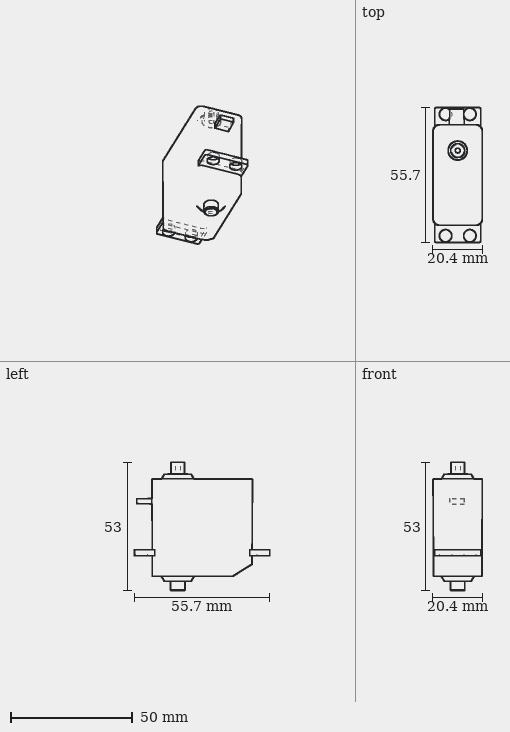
import cadquery as cq

CASE_HEIGHT = 40.1
SEAM_Z = 11.15
SEAM_WIDTH = 20.05
SEAM_LENGTH = 41.15
TOP_WIDTH = 20.4
TOP_FLARE = (TOP_WIDTH - SEAM_WIDTH) / 2
TOP_LENGTH = SEAM_LENGTH + 2 * TOP_FLARE
SEAM_CORNER_R = 2.5
TOP_CORNER_R = SEAM_CORNER_R + TOP_FLARE
CASE_EDGE_R = 0.45

SLOPE_FLOOR_Y = -12.5
SLOPE_HEIGHT = 5.05

EAR_SPAN = 55.7
EAR_WIDTH = 19.0
EAR_THICKNESS = 2.55
EAR_TOP_Z = SEAM_Z - 0.1
EAR_CORNER_R = 0.9
EAR_HOLE_D = 5.0
EAR_HOLE_PITCH_X = 10.0
EAR_HOLE_PITCH_Y = 50.0

AXIS_Y = 10.05
BOSS_HEIGHT = 2.0
BOSS_BASE_R = 6.72
BOSS_ROOT_R = 0.4
BOSS_SLOPE_DEG = 30
BOSS_EDGE_R = 0.3

COLLAR_R = 3.95
COLLAR_HEIGHT = 0.15
COLLAR_CHAMFER = 0.1
SHAFT_R = 2.85
OUTPUT_HEIGHT = 6.95
SHAFT_EDGE_R = 0.5
SHAFT_ROOT_R = 0.25
SHAFT_BORE_D = 2.0
SHAFT_BORE_DEPTH = 5.0

STUB_R = 3.0
IDLER_HEIGHT = 5.95
STUB_CHAMFER = 0.5

CABLE_X = -0.4
CABLE_Z = 30.95
CABLE_EMBED = 1.0
CABLE_NECK_Y = 21.1
CABLE_TIP_Y = 27.0
CABLE_ROOT_WIDTH = 6.1
CABLE_TIP_WIDTH = 5.75
CABLE_ROOT_HEIGHT = 2.3
CABLE_TIP_HEIGHT = 2.05


def rounded_rectangle(width, length, corner_r):
    return cq.Sketch().rect(width, length).vertices().fillet(corner_r)


def make_upper_shell():
    shell = (
        cq.Workplane("XY")
        .workplane(offset=SEAM_Z)
        .placeSketch(
            rounded_rectangle(SEAM_WIDTH, SEAM_LENGTH, SEAM_CORNER_R),
            rounded_rectangle(TOP_WIDTH, TOP_LENGTH, TOP_CORNER_R).moved(
                cq.Location(cq.Vector(0, 0, CASE_HEIGHT - SEAM_Z))
            ),
        )
        .loft()
    )
    return shell.faces(">Z").edges().fillet(CASE_EDGE_R)


def make_lower_shell():
    shell = (
        cq.Workplane("XY")
        .placeSketch(rounded_rectangle(SEAM_WIDTH, SEAM_LENGTH, SEAM_CORNER_R))
        .extrude(SEAM_Z)
    )
    end_y = -SEAM_LENGTH / 2
    relief = (
        cq.Workplane("YZ")
        .polyline([(SLOPE_FLOOR_Y, 0), (end_y, SLOPE_HEIGHT), (end_y, 0)])
        .close()
        .extrude(SEAM_WIDTH, both=True)
    )
    shell = shell.cut(relief)
    slope_direction = cq.Vector(0, -SLOPE_HEIGHT, end_y - SLOPE_FLOOR_Y)
    floor_rim = shell.faces("<Z").edges()
    slope_rim = shell.faces(cq.selectors.ParallelDirSelector(slope_direction)).edges()
    return floor_rim.add(slope_rim).fillet(CASE_EDGE_R)


def make_ears():
    return (
        cq.Workplane("XY")
        .workplane(offset=EAR_TOP_Z - EAR_THICKNESS)
        .placeSketch(rounded_rectangle(EAR_WIDTH, EAR_SPAN, EAR_CORNER_R))
        .extrude(EAR_THICKNESS)
        .faces(">Z")
        .workplane()
        .rect(EAR_HOLE_PITCH_X, EAR_HOLE_PITCH_Y, forConstruction=True)
        .vertices()
        .hole(EAR_HOLE_D)
    )


def make_boss():
    """Conical boss standing on Z = 0, centred on the Z axis."""
    boss = cq.Workplane("XY").circle(BOSS_BASE_R).extrude(BOSS_HEIGHT, taper=BOSS_SLOPE_DEG)
    return boss.faces(">Z").edges().fillet(BOSS_EDGE_R)


def make_output():
    """Roof boss, collar and bored output shaft, standing on Z = 0."""
    collar = (
        cq.Workplane("XY")
        .circle(COLLAR_R)
        .extrude(BOSS_HEIGHT + COLLAR_HEIGHT)
        .faces(">Z")
        .edges()
        .chamfer(COLLAR_CHAMFER)
    )
    shaft = (
        cq.Workplane("XY")
        .circle(SHAFT_R)
        .extrude(OUTPUT_HEIGHT)
        .faces(">Z")
        .edges()
        .fillet(SHAFT_EDGE_R)
    )
    output = make_boss().union(collar).union(shaft)
    root_z = BOSS_HEIGHT + COLLAR_HEIGHT
    reach = SHAFT_R + SHAFT_ROOT_R
    shaft_root = cq.selectors.BoxSelector(
        (-reach, -reach, root_z - SHAFT_ROOT_R),
        (reach, reach, root_z + SHAFT_ROOT_R),
        boundingbox=True,
    )
    output = output.edges(shaft_root).fillet(SHAFT_ROOT_R)
    return output.faces(">Z").workplane().hole(SHAFT_BORE_D, SHAFT_BORE_DEPTH)


def make_idler():
    """Floor boss and chamfered stub, standing on Z = 0."""
    stub = (
        cq.Workplane("XY")
        .circle(STUB_R)
        .extrude(IDLER_HEIGHT)
        .faces(">Z")
        .edges()
        .chamfer(STUB_CHAMFER)
    )
    return make_boss().union(stub)


def make_cable_outlet():
    neck_start_y = SEAM_LENGTH / 2 - CABLE_EMBED
    neck = cq.Workplane("XY").box(
        CABLE_ROOT_WIDTH, CABLE_NECK_Y - neck_start_y, CABLE_ROOT_HEIGHT, centered=(True, False, True)
    )
    body = (
        cq.Workplane("XZ", origin=(0, CABLE_NECK_Y, 0))
        .rect(CABLE_ROOT_WIDTH, CABLE_ROOT_HEIGHT)
        .workplane(offset=CABLE_NECK_Y - CABLE_TIP_Y)
        .rect(CABLE_TIP_WIDTH, CABLE_TIP_HEIGHT)
        .loft(ruled=True)
    )
    neck = neck.translate((0, neck_start_y, 0))
    return neck.union(body).translate((CABLE_X, 0, CABLE_Z))


def blend_boss_root(body, case_face_z):
    """Round the corner where a boss meets the flat case face at the given height."""
    root_edges = cq.selectors.BoxSelector(
        (-BOSS_BASE_R - BOSS_ROOT_R, AXIS_Y - BOSS_BASE_R - BOSS_ROOT_R, case_face_z - BOSS_ROOT_R),
        (BOSS_BASE_R + BOSS_ROOT_R, AXIS_Y + BOSS_BASE_R + BOSS_ROOT_R, case_face_z + BOSS_ROOT_R),
        boundingbox=True,
    )
    return body.edges(root_edges).fillet(BOSS_ROOT_R)


output = make_output().translate((0, AXIS_Y, CASE_HEIGHT))
idler = make_idler().rotate((0, 0, 0), (1, 0, 0), 180).translate((0, AXIS_Y, 0))

servo = make_upper_shell().union(make_lower_shell())
servo = servo.union(make_ears())
servo = servo.union(make_cable_outlet())
servo = servo.union(output)
servo = servo.union(idler)
servo = blend_boss_root(servo, CASE_HEIGHT)
result = blend_boss_root(servo, 0)